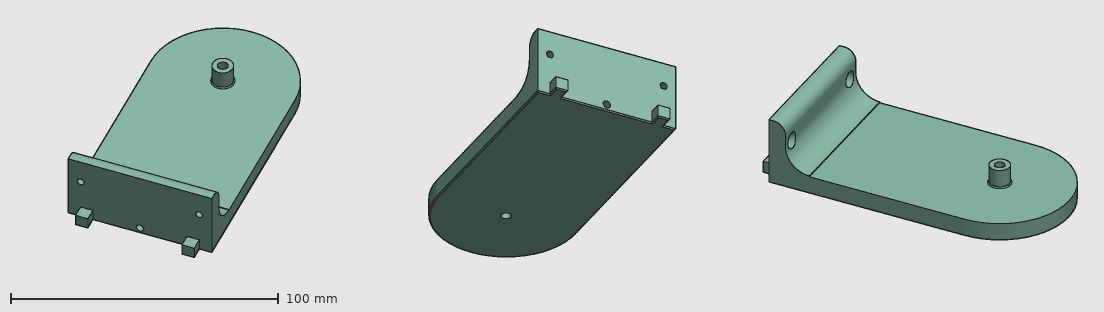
import cadquery as cq

width = 58.0
end_radius = width / 2
plate_thickness = 7.5
total_length = 116.0
tab_length = 5.0
tab_end_y = end_radius - total_length
wall_front_y = tab_end_y + tab_length
bottom_chamfer = 0.5

total_height = 28.0
wall_thickness = 7.0
wall_back_y = wall_front_y + wall_thickness
wall_top_radius = 5.0
cove_radius = 10.0
cove_lip = 0.3
cove_bottom_z = plate_thickness + cove_lip

tab_width = 5.0
tab_height = 5.2
tab_offset_x = 21.5

post_radius = 4.1
post_top_z = 15.2
post_bore_radius = 2.0
post_foot_size = 0.5

screw_hole_radius = 1.4
screw_offset_x = 23.9
screw_z = 18.0
counterbore_radius = 3.2

pin_hole_radius = 1.5
pin_hole_z = 2.8
pin_hole_depth = wall_thickness


def along_y(x, z, radius, start_y, length):
    """Cylinder that starts at start_y and runs toward +Y."""
    return cq.Workplane("XZ", origin=(x, start_y, z)).circle(radius).extrude(-length)


def make_plate():
    return (
        cq.Workplane("XY")
        .moveTo(-end_radius, wall_front_y)
        .lineTo(end_radius, wall_front_y)
        .lineTo(end_radius, 0)
        .threePointArc((0, end_radius), (-end_radius, 0))
        .close()
        .extrude(plate_thickness)
    )


def make_wall():
    cove_end_y = wall_back_y + cove_radius
    profile = (
        cq.Workplane("YZ", origin=(-width / 2, 0, 0))
        .moveTo(wall_front_y, 0)
        .lineTo(wall_front_y, total_height)
        .lineTo(wall_back_y - wall_top_radius, total_height)
        .tangentArcPoint((wall_back_y, total_height - wall_top_radius), relative=False)
        .lineTo(wall_back_y, cove_bottom_z + cove_radius)
        .tangentArcPoint((cove_end_y, cove_bottom_z), relative=False)
        .lineTo(cove_end_y, 0)
        .close()
    )
    return profile.extrude(width)


def make_tab(x):
    return cq.Workplane("XY").box(
        tab_width, tab_length, tab_height, centered=(True, False, False)
    ).translate((x, tab_end_y, 0))


def make_post():
    foot_radius = post_radius + post_foot_size
    foot_top_z = plate_thickness + post_foot_size
    return (
        cq.Workplane("XZ")
        .moveTo(0, 0)
        .lineTo(foot_radius, 0)
        .lineTo(foot_radius, plate_thickness)
        .lineTo(post_radius, foot_top_z)
        .lineTo(post_radius, post_top_z)
        .lineTo(0, post_top_z)
        .close()
        .revolve(360, (0, 0, 0), (0, 1, 0))
    )


body = make_plate().union(make_wall())
for side in (-1, 1):
    body = body.union(make_tab(side * tab_offset_x))
body = body.clean()

body = body.faces("<Z").chamfer(bottom_chamfer)

body = body.union(make_post())
body = body.cut(cq.Workplane("XY").circle(post_bore_radius).extrude(post_top_z))

counterbore_y = wall_front_y + wall_thickness / 2
for side in (-1, 1):
    screw_x = side * screw_offset_x
    body = body.cut(along_y(screw_x, screw_z, screw_hole_radius, wall_front_y, wall_thickness))
    body = body.cut(along_y(screw_x, screw_z, counterbore_radius, counterbore_y, wall_thickness))

body = body.cut(along_y(0, pin_hole_z, pin_hole_radius, wall_front_y, pin_hole_depth))

result = body